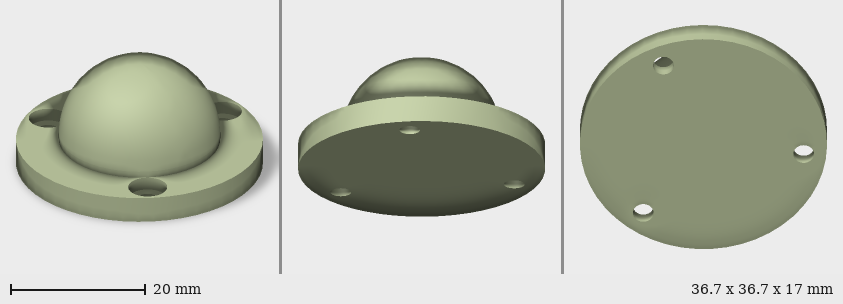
import cadquery as cq

flange_diameter = 36.72
flange_thickness = 4.0

dome_diameter = 24.0
dome_radius = dome_diameter / 2
collar_height = 1.0

hole_count = 3
hole_circle_radius = 15.0
first_hole_angle = 90
hole_diameter = 3.1
counterbore_diameter = 5.8
counterbore_depth = 2.0


def make_flange():
    """Round plate with its underside on Z = 0 and counterbored screw holes."""
    plate = cq.Workplane("XY").circle(flange_diameter / 2).extrude(flange_thickness)
    return (
        plate.faces(">Z")
        .workplane()
        .polarArray(hole_circle_radius, first_hole_angle, 360, hole_count)
        .cboreHole(hole_diameter, counterbore_diameter, counterbore_depth)
    )


def make_dome():
    """Collar and hemisphere, revolved about the Z axis from a half profile."""
    collar_top = flange_thickness + collar_height
    arc_reach = dome_radius / 2 ** 0.5
    return (
        cq.Workplane("XZ")
        .lineTo(dome_radius, 0)
        .lineTo(dome_radius, collar_top)
        .threePointArc((arc_reach, collar_top + arc_reach), (0, collar_top + dome_radius))
        .close()
        .revolve(360, (0, 0), (0, 1))
    )


result = make_flange().union(make_dome())